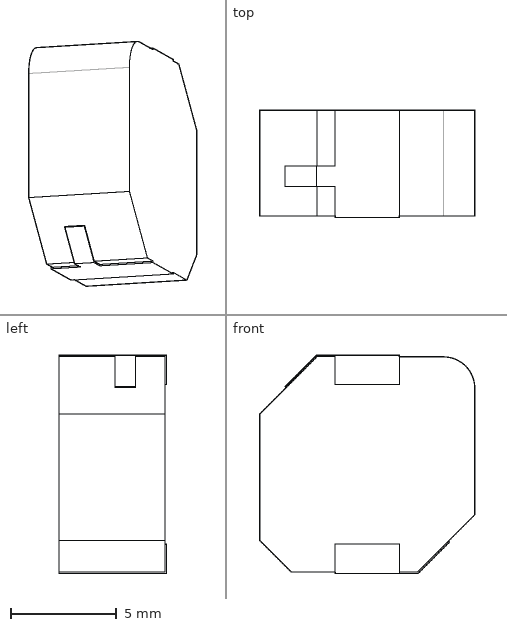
import cadquery as cq
import math

body_size = 10.2
body_depth = 5.03
large_chamfer = 2.72
small_chamfer = 1.5
corner_radius = 1.5

strip_thickness = 0.07
strip_width = 3.05
pad_height = 1.32
tab_width = 0.98
tab_front_gap = 1.4
tab_diagonal_run = 1.47

half_size = body_size / 2
half_strip = strip_width / 2
bevel_start = half_size - large_chamfer
strip_outer_z = half_size + strip_thickness

chamfer_angle = math.radians(45)
mitre_shift = strip_thickness * math.tan(chamfer_angle / 2)
diagonal_offset = strip_thickness * math.sin(chamfer_angle)


def extrude_back(outline, front_y, depth):
    """Extrude a closed XZ outline from front_y towards +Y."""
    return outline.extrude(-depth).translate((0, front_y, 0))


def make_strip_plate(bottom_z, front_y, depth):
    """Rectangular plate of the strip width, ending at the outer top surface."""
    height = strip_outer_z - bottom_z
    outline = cq.Workplane("XZ").center(0, bottom_z + height / 2).rect(strip_width, height)
    return extrude_back(outline, front_y, depth)


def make_body():
    arc_centre = half_size - corner_radius
    arc_mid = arc_centre + corner_radius * math.sin(math.radians(45))
    outline = (
        cq.Workplane("XZ")
        .moveTo(-half_size, bevel_start)
        .lineTo(-bevel_start, half_size)
        .lineTo(arc_centre, half_size)
        .threePointArc((arc_mid, arc_mid), (half_size, arc_centre))
        .lineTo(half_size, -bevel_start)
        .lineTo(bevel_start, -half_size)
        .lineTo(small_chamfer - half_size, -half_size)
        .lineTo(-half_size, small_chamfer - half_size)
        .close()
    )
    return extrude_back(outline, 0, body_depth)


def make_tab():
    """Narrow tab leaving the strip sideways and folded down the large chamfer."""
    end_x = -bevel_start - tab_diagonal_run
    end_z = half_size - tab_diagonal_run
    outline = (
        cq.Workplane("XZ")
        .moveTo(-half_strip, half_size)
        .lineTo(-bevel_start, half_size)
        .lineTo(end_x, end_z)
        .lineTo(end_x - diagonal_offset, end_z + diagonal_offset)
        .lineTo(-bevel_start - mitre_shift, strip_outer_z)
        .lineTo(-half_strip, strip_outer_z)
        .close()
    )
    return extrude_back(outline, tab_front_gap, tab_width)


def make_top_terminal():
    top_strip = make_strip_plate(half_size, -strip_thickness, body_depth + strip_thickness)
    pad = make_strip_plate(half_size - pad_height, -strip_thickness, strip_thickness)
    return top_strip.union(pad).union(make_tab())


top_terminal = make_top_terminal()
bottom_terminal = top_terminal.rotate((0, 0, 0), (0, 1, 0), 180)

result = make_body().union(top_terminal).union(bottom_terminal)